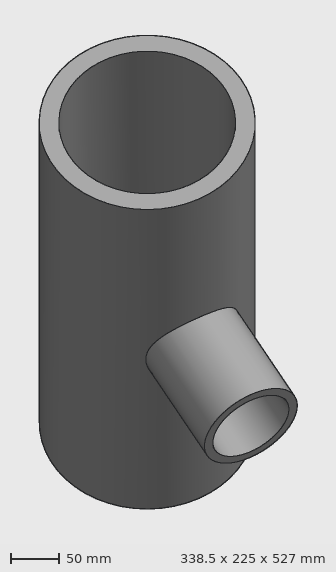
import cadquery as cq

pipe_length = 527.0
pipe_diameter = 225.0
pipe_wall = 20.5

branch_diameter = 110.0
branch_wall = 10.0
branch_stub = 113.5

branch_reach = pipe_diameter / 2 + branch_stub


def upright_cylinder(diameter):
    """Cylinder along Z over the full length of the main pipe."""
    return cq.Workplane("XY").circle(diameter / 2).extrude(pipe_length / 2, both=True)


def branch_cylinder(diameter):
    """Cylinder along +X from the main pipe's axis to the branch end."""
    return cq.Workplane("YZ").circle(diameter / 2).extrude(branch_reach)


body = upright_cylinder(pipe_diameter).union(branch_cylinder(branch_diameter))
pipe_bore = upright_cylinder(pipe_diameter - 2 * pipe_wall)
branch_bore = branch_cylinder(branch_diameter - 2 * branch_wall)

result = body.cut(pipe_bore).cut(branch_bore)